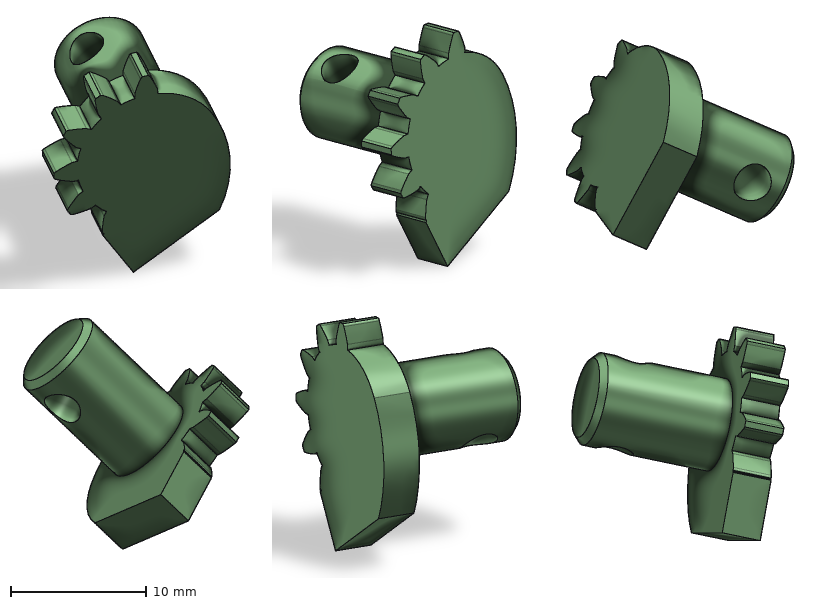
import cadquery as cq
import math

total_length = 13.3
cam_thickness = 3.0
shaft_length = total_length - cam_thickness
shaft_diameter = 7
end_chamfer = 0.5

hole_diameter = 2.9
hole_x = 2.92

tooth_count = 6
tooth_pitch = 30.0
first_tooth_angle = 2.6
root_radius = 5.6
shoulder_radius = 5.95
flank_end_radius = 7.21
tip_radius = 7.4
root_half_width = 0.9
shoulder_half_width = 0.88
flank_end_half_width = 0.38
tip_half_width = 0.23
flank_bulge = 0.027
hole_angle = first_tooth_angle + tooth_pitch

back_start_y = 4.74
back_start_z = math.sqrt(root_radius**2 - back_start_y**2)
back_radius = 9.8
back_center_y = back_start_y * (1 - back_radius / root_radius)
back_center_z = back_start_z * (1 - back_radius / root_radius)
back_widest = (back_center_y + back_radius, back_center_z)
back_corner_z = -6.2
back_corner_y = back_center_y + math.sqrt(back_radius**2 - (back_corner_z - back_center_z) ** 2)
lobe_point = (-1.25, -10.55)
lobe_shoulder = (-3.6, -6.64)


def make_shaft():
    shaft = cq.Workplane("YZ").circle(shaft_diameter / 2).extrude(shaft_length)
    return shaft.faces("<X").chamfer(end_chamfer)


def make_cross_hole():
    cutter_base = cq.Workplane("XY", origin=(0, 0, -shaft_diameter / 2))
    cutter = cutter_base.circle(hole_diameter / 2).extrude(shaft_diameter)
    return cutter.rotate((0, 0, 0), (1, 0, 0), hole_angle).translate((hole_x, 0, 0))


def cam_plane():
    """Local axes are Y and Z, on the shaft-side face of the cam."""
    return cq.Workplane("YZ", origin=(shaft_length, 0, 0))


def make_lobe():
    outline = (
        cam_plane()
        .lineTo(back_start_y, back_start_z)
        .threePointArc(back_widest, (back_corner_y, back_corner_z))
        .lineTo(*lobe_point)
        .lineTo(*lobe_shoulder)
        .close()
    )
    return outline.extrude(cam_thickness)


def make_tooth(angle):
    flank_mid_half_width = (shoulder_half_width + flank_end_half_width) / 2 + flank_bulge
    flank_mid_radius = (shoulder_radius + flank_end_radius) / 2
    outline = (
        cam_plane()
        .lineTo(root_half_width, 0)
        .lineTo(root_half_width, root_radius)
        .lineTo(shoulder_half_width, shoulder_radius)
        .threePointArc((flank_mid_half_width, flank_mid_radius), (flank_end_half_width, flank_end_radius))
        .tangentArcPoint((tip_half_width, tip_radius), relative=False)
        .lineTo(0, tip_radius)
        .close()
    )
    half = outline.extrude(cam_thickness)
    tooth = half.union(half.mirror("XZ"))
    return tooth.rotate((0, 0, 0), (1, 0, 0), angle)


def make_cam():
    cam = cam_plane().circle(root_radius).extrude(cam_thickness).union(make_lobe())
    for index in range(tooth_count):
        cam = cam.union(make_tooth(first_tooth_angle + index * tooth_pitch))
    return cam


result = make_shaft().cut(make_cross_hole()).union(make_cam())